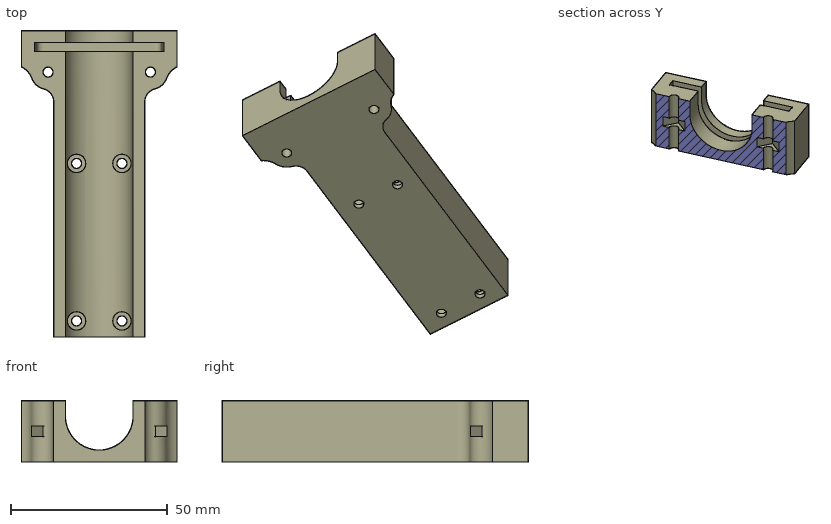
import cadquery as cq
import math

length = 97.7
height = 19.6
bar_half_width = 14.6
horn_half_width = 24.8
horn_edge_length = 11.5
rear_y = length / 2
front_y = -length / 2

channel_radius = 10.75
channel_floor = 3.9

screw_radius = 1.6
screw_x = 16.3
screw_y = rear_y - 13.2
lobe_radius = 5.6
root_fillet = 4.2
shoulder_angle = math.radians(-20.5)

nut_width = 5.3
nut_height = 3.3
nut_reach = nut_width / 2
nut_slot_length = nut_reach + 2 * lobe_radius
nut_angle = 45

plate_slot_width = 2.7
plate_slot_y = rear_y - 5.2
plate_slot_floor = 2.0
plate_slot_top_half = 20.7
plate_slot_bottom_half = 19.6
plate_slot_fillet = 2.1

mount_x = 7.2
mount_rows = [front_y + 5.2, front_y + 55.4]
mount_radius = 1.6
counterbore_radius = 2.9
counterbore_floor = 2.0


def lobe_point(angle):
    return (screw_x + lobe_radius * math.cos(angle), screw_y + lobe_radius * math.sin(angle))


def half_body():
    fillet_offset = bar_half_width + root_fillet - screw_x
    root_angle = -math.acos(fillet_offset / (lobe_radius + root_fillet))
    fillet_y = screw_y + (lobe_radius + root_fillet) * math.sin(root_angle)
    return (
        cq.Workplane("XY")
        .moveTo(0, front_y)
        .lineTo(bar_half_width, front_y)
        .lineTo(bar_half_width, fillet_y)
        .tangentArcPoint(lobe_point(root_angle), relative=False)
        .threePointArc(lobe_point((root_angle + shoulder_angle) / 2), lobe_point(shoulder_angle))
        .tangentArcPoint((horn_half_width, rear_y - horn_edge_length), relative=False)
        .lineTo(horn_half_width, rear_y)
        .lineTo(0, rear_y)
        .close()
        .extrude(height)
    )


def channel():
    axis_z = channel_floor + channel_radius
    return (
        cq.Workplane("XZ", origin=(0, rear_y, 0))
        .moveTo(-channel_radius, height)
        .lineTo(-channel_radius, axis_z)
        .threePointArc((0, channel_floor), (channel_radius, axis_z))
        .lineTo(channel_radius, height)
        .close()
        .extrude(length)
    )


def plate_slot():
    return (
        cq.Workplane("XZ", origin=(0, plate_slot_y, 0))
        .polyline([
            (-plate_slot_top_half, height),
            (-plate_slot_bottom_half, plate_slot_floor),
            (plate_slot_bottom_half, plate_slot_floor),
            (plate_slot_top_half, height),
        ])
        .close()
        .extrude(plate_slot_width / 2, both=True)
        .edges("|Y and <Z")
        .fillet(plate_slot_fillet)
    )


def upright_cylinder(x, y, radius, bottom):
    return cq.Workplane("XY", origin=(x, y, bottom)).circle(radius).extrude(height - bottom)


def nut_slot(side):
    return (
        cq.Workplane("XY")
        .box(nut_slot_length, nut_width, nut_height)
        .translate((nut_slot_length / 2 - nut_reach, 0, 0))
        .rotate((0, 0, 0), (0, 0, 1), -90 + side * nut_angle)
        .translate((side * screw_x, screw_y, height / 2))
    )


right_half = half_body()
result = right_half.union(right_half.mirror("YZ")).cut(channel()).cut(plate_slot())

for side in (-1, 1):
    result = result.cut(upright_cylinder(side * screw_x, screw_y, screw_radius, 0))
    result = result.cut(nut_slot(side))
    for row_y in mount_rows:
        result = result.cut(upright_cylinder(side * mount_x, row_y, mount_radius, 0))
        result = result.cut(upright_cylinder(side * mount_x, row_y, counterbore_radius, counterbore_floor))